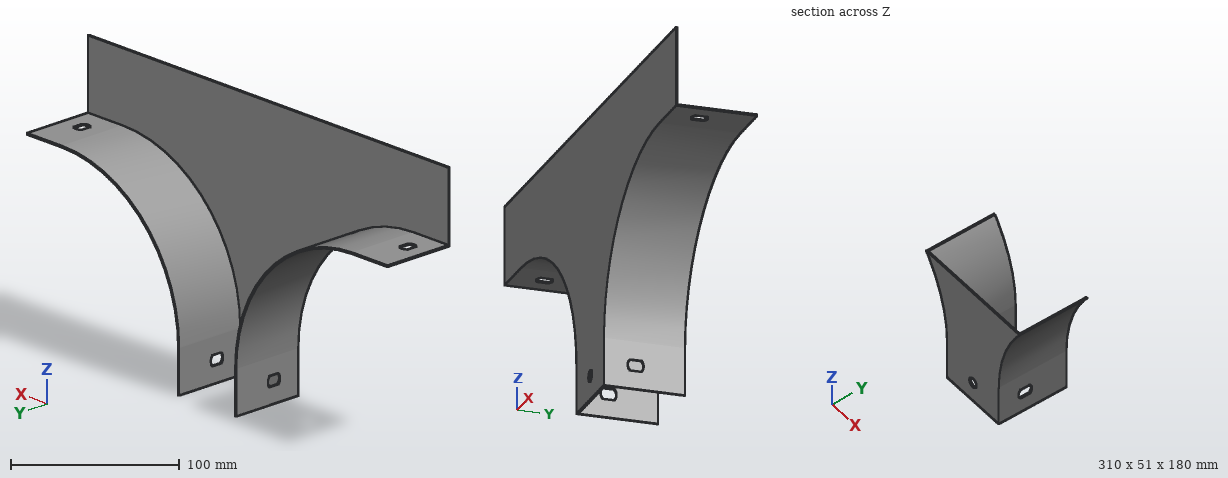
import cadquery as cq
import math

sheet = 1.0
branch_width = 50.0
bend_radius = 100.0
straight_length = 30.0
depth = 51.0

hole_diameter = 7.0
slot_length = 10.0
slot_width = 7.0
slot_offset = 20.0
hole_inset = straight_length / 2

half_stem = branch_width / 2
arm_bottom = straight_length + bend_radius
half_length = half_stem + arm_bottom
height = arm_bottom + branch_width
drill_length = 4 * sheet


def side_outline(side, inset):
    """Outline from arm end to stem end, offset into the web by inset; side is +1 or -1 along X."""
    radius = bend_radius + inset
    arc_x = half_stem + bend_radius
    arc_z = straight_length
    diagonal_reach = radius / math.sqrt(2)
    arm_end = (side * half_length, arc_z + radius)
    arm_tangent = (side * arc_x, arc_z + radius)
    arc_middle = (side * (arc_x - diagonal_reach), arc_z + diagonal_reach)
    stem_tangent = (side * (arc_x - radius), arc_z)
    stem_end = (side * (arc_x - radius), 0)
    return arm_end, arm_tangent, arc_middle, stem_tangent, stem_end


def draw_inward(sketch, outline):
    """Continue the sketch along an outline from its arm end to its stem end."""
    arm_end, arm_tangent, arc_middle, stem_tangent, stem_end = outline
    return (
        sketch.lineTo(*arm_end)
        .lineTo(*arm_tangent)
        .threePointArc(arc_middle, stem_tangent)
        .lineTo(*stem_end)
    )


def draw_outward(sketch, outline):
    """Continue the sketch along an outline from its stem end to its arm end."""
    arm_end, arm_tangent, arc_middle, stem_tangent, stem_end = outline
    return (
        sketch.lineTo(*stem_end)
        .lineTo(*stem_tangent)
        .threePointArc(arc_middle, arm_tangent)
        .lineTo(*arm_end)
    )


def make_web():
    sketch = cq.Workplane("XZ").moveTo(-half_length, height).lineTo(half_length, height)
    sketch = draw_inward(sketch, side_outline(1, 0))
    sketch = draw_outward(sketch, side_outline(-1, 0))
    return sketch.close().extrude(-sheet)


def make_flange(side):
    sketch = cq.Workplane("XZ").moveTo(side * half_length, arm_bottom + sheet)
    sketch = draw_inward(sketch, side_outline(side, 0))
    sketch = draw_outward(sketch, side_outline(side, sheet))
    return sketch.close().extrude(-depth)


def double_d_cutter(plane, center, size_u, size_v):
    """Cutter for a round hole narrowed by two flats, boxed to size_u by size_v in its plane."""
    round_hole = (
        cq.Workplane(plane)
        .circle(slot_length / 2)
        .extrude(drill_length, both=True)
    )
    flats = (
        cq.Workplane(plane)
        .rect(size_u, size_v)
        .extrude(drill_length, both=True)
    )
    return round_hole.intersect(flats).translate(center)


def make_slots(side):
    """Cutters for the slots in one flange's arm and stem leads, both elongated along Y."""
    arm_center = (side * (half_length - hole_inset), slot_offset, arm_bottom)
    stem_center = (side * half_stem, slot_offset, hole_inset)
    arm_slot = double_d_cutter("XY", arm_center, slot_width, slot_length)
    stem_slot = double_d_cutter("YZ", stem_center, slot_length, slot_width)
    return arm_slot.union(stem_slot)


def make_stem_hole():
    return (
        cq.Workplane("XZ")
        .center(0, hole_inset)
        .circle(hole_diameter / 2)
        .extrude(drill_length, both=True)
    )


result = make_web().cut(make_stem_hole())
for side in (1, -1):
    result = result.union(make_flange(side).cut(make_slots(side)))